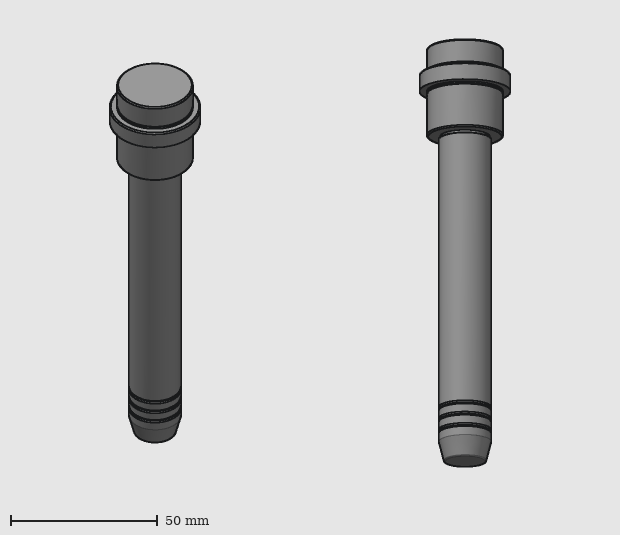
import cadquery as cq

total_length = 146.0
head_height = 9.0
flange_thickness = 6.0
shoulder_length = 16.0
taper_length = 7.0

flange_top = total_length - head_height
flange_bottom = flange_top - flange_thickness
shoulder_bottom = flange_bottom - shoulder_length

flange_diameter = 31.0
head_diameter = 26.0
shank_diameter = 18.0
tip_diameter = 14.4

edge_chamfer = 0.5
tip_fillet = 0.5

relief_width = 1.0
shank_relief_depth = 0.5

vee_depth = 0.3

oil_groove_count = 3
oil_groove_pitch = 4.0
oil_groove_width = 1.2
lowest_oil_groove_center = 10.5


def cylinder(diameter, bottom, top):
    """Solid cylinder on the pin axis between two heights."""
    return cq.Workplane("XY").workplane(offset=bottom).circle(diameter / 2).extrude(top - bottom)


def make_shank():
    """Straight guide shank with a tapered lead-in and a rounded tip."""
    taper = (
        cq.Workplane("XY")
        .circle(tip_diameter / 2)
        .workplane(offset=taper_length)
        .circle(shank_diameter / 2)
        .loft(ruled=True)
        .faces("<Z")
        .edges()
        .fillet(tip_fillet)
    )
    return taper.union(cylinder(shank_diameter, taper_length, shoulder_bottom))


def make_head():
    """Head, locating flange and press-fit shoulder with broken edges."""
    head = cylinder(head_diameter, flange_top, total_length)
    head = head.faces(">Z").edges().chamfer(edge_chamfer)
    flange = cylinder(flange_diameter, flange_bottom, flange_top)
    flange = flange.faces(">Z").edges().chamfer(edge_chamfer)
    shoulder = cylinder(head_diameter, shoulder_bottom, flange_bottom)
    shoulder = shoulder.faces("<Z").edges().chamfer(edge_chamfer)
    return shoulder.union(flange).union(head)


def square_groove(diameter, bottom, width, depth):
    """Cutting ring for a square groove around a cylinder."""
    top = bottom + width
    return cylinder(diameter, bottom, top).cut(cylinder(diameter - 2 * depth, bottom, top))


def vee_groove(diameter, center, width, depth):
    """Cutting ring for a V groove around a cylinder."""
    surface = diameter / 2
    half_width = width / 2
    section = [
        (surface, center - half_width),
        (surface - depth, center),
        (surface, center + half_width),
    ]
    return cq.Workplane("XZ").polyline(section).close().revolve(360, (0, 0, 0), (0, 1, 0))


result = make_shank().union(make_head())

result = result.cut(vee_groove(head_diameter, flange_top + relief_width / 2, relief_width, vee_depth))
result = result.cut(vee_groove(head_diameter, flange_bottom - relief_width / 2, relief_width, vee_depth))

shank_relief_bottom = shoulder_bottom - relief_width
result = result.cut(square_groove(shank_diameter, shank_relief_bottom, relief_width, shank_relief_depth))

for index in range(oil_groove_count):
    groove_center = lowest_oil_groove_center + index * oil_groove_pitch
    result = result.cut(vee_groove(shank_diameter, groove_center, oil_groove_width, vee_depth))